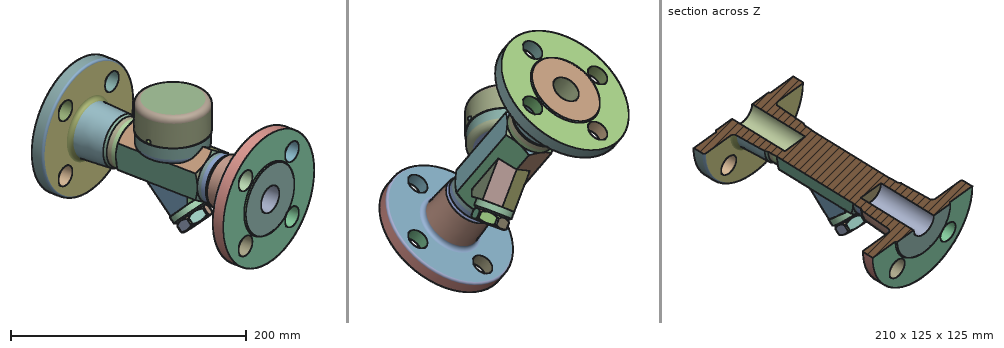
import cadquery as cq
import math


overall_length = 210.0
flange_diameter = 125.0
flange_thickness = 12.5
flange_edge_radius = 2.0
raised_face_height = 1.5
raised_face_diameter = 66.5
raised_face_base_diameter = 68.0
bolt_hole_diameter = 19.0
bolt_circle_diameter = 90.0
bolt_count = 4
bore_diameter = 25.0

hub_radius = 26.0
hub_fillet_radius = 4.0
hub_end = 56.2
hub_end_radius = 24.4
neck_start = 53.5
neck_diameter = 46.0
neck_taper_start = 48.5

body_across_flats = 45.0
body_half_length = 44.0
body_chamfer_angle = 30.0

cover_diameter = 66.5
cover_top = 61.3
cover_bottom = 31.4
cover_top_radius = 5.6
seat_diameter = 65.0
seat_bottom = 14.1
seat_bottom_radius = 6.0
stud_radius = 2.0
stud_z = 34.0

branch_angle = 45.0
branch_axis_x = -24.2
branch_half_width = 15.5
branch_ridge_offset = 16.3
branch_edge_offset = 6.9
branch_upper_offset = 25.0
branch_start = 15.0
branch_end = 54.6
branch_wall_x = 27.8
collar_diameter = 34.0
collar_end = 61.0
groove_position = 62.6
plug_end = 72.0
plug_across_flats = 29.0
plug_corner_diameter = 32.5
plug_inner_chamfer = 1.9
plug_outer_chamfer = 1.4

half_length = overall_length / 2
flange_front = half_length - raised_face_height
flange_back = flange_front - flange_thickness
flange_radius = flange_diameter / 2
neck_radius = neck_diameter / 2
body_inradius = body_across_flats / 2
body_corner_radius = body_inradius / math.cos(math.pi / 6)
body_chamfer_slope = math.tan(math.radians(body_chamfer_angle))
body_chamfer_length = (body_corner_radius - body_inradius) * body_chamfer_slope
plug_inradius = plug_across_flats / 2

branch_slope = math.radians(branch_angle)
branch_plane = cq.Plane(
    origin=(branch_axis_x, 0, 0),
    xDir=(math.sin(branch_slope), 0, math.cos(branch_slope)),
    normal=(math.cos(branch_slope), 0, -math.sin(branch_slope)),
)


def hexagon_corners(inradius, first_angle):
    corner_radius = inradius / math.cos(math.pi / 6)
    angles = [math.radians(first_angle + 60 * i) for i in range(6)]
    return [(corner_radius * math.cos(a), corner_radius * math.sin(a)) for a in angles]


def make_body():
    hexagon = (
        cq.Workplane("YZ")
        .workplane(offset=-body_half_length)
        .polyline(hexagon_corners(body_inradius, 30))
        .close()
        .extrude(2 * body_half_length)
    )
    shoulder = body_half_length - body_chamfer_length
    chamfer_envelope = (
        cq.Workplane("XY")
        .moveTo(-body_half_length, 0)
        .lineTo(-body_half_length, body_inradius)
        .lineTo(-shoulder, body_corner_radius)
        .lineTo(shoulder, body_corner_radius)
        .lineTo(body_half_length, body_inradius)
        .lineTo(body_half_length, 0)
        .close()
        .revolve(360, (0, 0, 0), (1, 0, 0))
    )
    return hexagon.intersect(chamfer_envelope)


def make_flanged_end():
    """Flange and neck on the +X side, with bolt holes."""
    edge_bend = flange_edge_radius * (1 - math.sqrt(0.5))
    hub_bend = hub_fillet_radius * (1 - math.sqrt(0.5))
    end = (
        cq.Workplane("XY")
        .moveTo(body_half_length, 0)
        .lineTo(body_half_length, body_inradius)
        .lineTo(neck_taper_start, neck_radius)
        .lineTo(neck_start, neck_radius)
        .lineTo(hub_end, hub_end_radius)
        .lineTo(flange_back - hub_fillet_radius, hub_radius)
        .threePointArc(
            (flange_back - hub_bend, hub_radius + hub_bend),
            (flange_back, hub_radius + hub_fillet_radius),
        )
        .lineTo(flange_back, flange_radius - flange_edge_radius)
        .threePointArc(
            (flange_back + edge_bend, flange_radius - edge_bend),
            (flange_back + flange_edge_radius, flange_radius),
        )
        .lineTo(flange_front, flange_radius)
        .lineTo(flange_front, raised_face_base_diameter / 2)
        .lineTo(half_length, raised_face_diameter / 2)
        .lineTo(half_length, 0)
        .close()
        .revolve(360, (0, 0, 0), (1, 0, 0))
    )
    bolt_holes = (
        cq.Workplane("YZ")
        .workplane(offset=flange_back)
        .polarArray(bolt_circle_diameter / 2, 45, 360, bolt_count)
        .circle(bolt_hole_diameter / 2)
        .extrude(flange_thickness)
    )
    return end.cut(bolt_holes)


def make_bore():
    """Blind bore from the +X flange face to the end of the body."""
    return (
        cq.Workplane("YZ")
        .workplane(offset=body_half_length)
        .circle(bore_diameter / 2)
        .extrude(half_length - body_half_length)
    )


def make_cover():
    seat = (
        cq.Workplane("XY")
        .workplane(offset=seat_bottom)
        .circle(seat_diameter / 2)
        .extrude(cover_bottom - seat_bottom)
        .faces("<Z")
        .edges()
        .fillet(seat_bottom_radius)
    )
    cap = (
        cq.Workplane("XY")
        .workplane(offset=cover_bottom)
        .circle(cover_diameter / 2)
        .extrude(cover_top - cover_bottom)
        .faces(">Z")
        .edges()
        .fillet(cover_top_radius)
    )
    cover = seat.union(cap)
    for side in (-1, 1):
        stud = cq.Workplane("XY").sphere(stud_radius)
        cover = cover.union(stud.translate((0, side * cover_diameter / 2, stud_z)))
    return cover


def make_branch_block():
    """Inclined block with a ridge along its underside and an upright wall toward +X."""
    block = (
        cq.Workplane(branch_plane)
        .workplane(offset=branch_start)
        .moveTo(-branch_ridge_offset, 0)
        .lineTo(-branch_edge_offset, branch_half_width)
        .lineTo(branch_upper_offset, branch_half_width)
        .lineTo(branch_upper_offset, -branch_half_width)
        .lineTo(-branch_edge_offset, -branch_half_width)
        .close()
        .extrude(branch_end - branch_start)
    )
    beyond_wall = cq.Workplane("XY").box(
        overall_length, overall_length, overall_length, centered=(False, True, True)
    )
    return block.cut(beyond_wall.translate((branch_wall_x, 0, 0)))


def revolve_on_branch(profile):
    """Solid of revolution about the branch axis from (radius, distance) points."""
    meridian_plane = cq.Plane(branch_plane.origin, branch_plane.xDir, -branch_plane.yDir)
    return cq.Workplane(meridian_plane).polyline(profile).close().revolve(360, (0, 0, 0), (0, 1, 0))


def make_collar():
    collar_radius = collar_diameter / 2
    return revolve_on_branch([
        (0, branch_end),
        (collar_radius, branch_end),
        (collar_radius, collar_end),
        (plug_inradius, groove_position),
        (0, groove_position),
    ])


def make_plug():
    hexagon = (
        cq.Workplane(branch_plane)
        .workplane(offset=groove_position)
        .polyline(hexagon_corners(plug_inradius, 0))
        .close()
        .extrude(plug_end - groove_position)
    )
    corner_radius = plug_corner_diameter / 2
    envelope = revolve_on_branch([
        (0, groove_position),
        (plug_inradius, groove_position),
        (corner_radius, groove_position + plug_inner_chamfer),
        (corner_radius, plug_end - plug_outer_chamfer),
        (plug_inradius, plug_end),
        (0, plug_end),
    ])
    return hexagon.intersect(envelope)


flanged_end = make_flanged_end()
bore = make_bore()
result = (
    make_body()
    .union(flanged_end)
    .union(flanged_end.mirror("YZ"))
    .union(make_cover())
    .union(make_branch_block())
    .union(make_collar())
    .union(make_plug())
    .cut(bore)
    .cut(bore.mirror("YZ"))
)